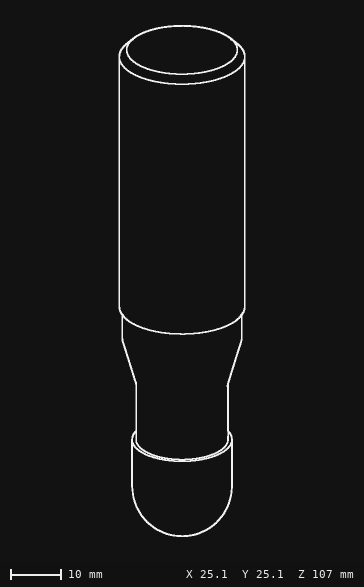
import cadquery as cq

TOTAL_LENGTH = 107.0
SHANK_DIAMETER = 25.1
SHANK_CHAMFER = 1.5
COLLAR_DIAMETER = 24.0
NECK_DIAMETER = 18.4
TIP_DIAMETER = 20.0

TIP_HEIGHT = 20.4
NECK_LENGTH = 12.6
TAPER_LENGTH = 10.0
COLLAR_LENGTH = 5.7
STEP_LENGTH = 1.3

shank_radius = SHANK_DIAMETER / 2
collar_radius = COLLAR_DIAMETER / 2
neck_radius = NECK_DIAMETER / 2
tip_radius = TIP_DIAMETER / 2
taper_bottom = TIP_HEIGHT + NECK_LENGTH
collar_bottom = taper_bottom + TAPER_LENGTH
step_bottom = collar_bottom + COLLAR_LENGTH
shank_bottom = step_bottom + STEP_LENGTH

step_width = shank_radius - collar_radius
step_arc_radius = (STEP_LENGTH**2 + step_width**2) / (2 * step_width)


def make_holder():
    """Chamfered shank that runs through a hollow step to a collar and tapers down to the neck."""
    return (
        cq.Workplane("XZ")
        .moveTo(0, TIP_HEIGHT)
        .lineTo(neck_radius, TIP_HEIGHT)
        .lineTo(neck_radius, taper_bottom)
        .lineTo(collar_radius, collar_bottom)
        .lineTo(collar_radius, step_bottom)
        .radiusArc((shank_radius, shank_bottom), step_arc_radius)
        .lineTo(shank_radius, TOTAL_LENGTH - SHANK_CHAMFER)
        .lineTo(shank_radius - SHANK_CHAMFER, TOTAL_LENGTH)
        .lineTo(0, TOTAL_LENGTH)
        .close()
        .revolve(360, (0, 0, 0), (0, 1, 0))
    )


def make_ball_tip():
    """Round tip with a hemispherical end, seated flat against the neck."""
    return (
        cq.Workplane("XZ")
        .moveTo(0, 0)
        .radiusArc((tip_radius, tip_radius), -tip_radius)
        .lineTo(tip_radius, TIP_HEIGHT)
        .lineTo(0, TIP_HEIGHT)
        .close()
        .revolve(360, (0, 0, 0), (0, 1, 0))
    )


holder = make_holder()
ball_tip = make_ball_tip()

result = cq.Compound.makeCompound([holder.val(), ball_tip.val()])